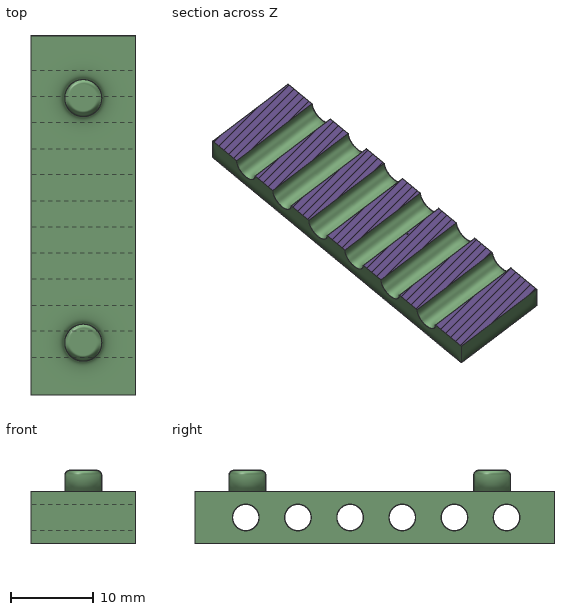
import cadquery as cq

bar_width = 12.7
bar_length = 43.65
bar_height = 6.35

pin_diameter = 4.5
pin_height = 2.58
pin_edge_radius = 0.65
pin_spacing = 29.7
pin_row_center_y = -0.6

hole_diameter = 3.2
hole_count = 6
hole_pitch = 6.35
hole_row_center_y = 0.17


def make_bar():
    """Plain bar centred in X and Y, standing on Z = 0."""
    return cq.Workplane("XY").box(bar_width, bar_length, bar_height, centered=(True, True, False))


def make_pin(y):
    """Pin standing on the bar, with a rounded top edge."""
    pin = cq.Workplane("XY").circle(pin_diameter / 2).extrude(pin_height)
    return pin.faces(">Z").edges().fillet(pin_edge_radius).translate((0, y, bar_height))


def make_cross_holes():
    """Evenly spaced cylinders along X at mid-height of the bar."""
    return (
        cq.Workplane("YZ")
        .center(hole_row_center_y, bar_height / 2)
        .rarray(hole_pitch, 0.45, hole_count, 1)
        .circle(hole_diameter / 2)
        .extrude(bar_width / 2, both=True)
    )


result = make_bar().cut(make_cross_holes())
for side in (-1, 1):
    result = result.union(make_pin(pin_row_center_y + side * pin_spacing / 2))